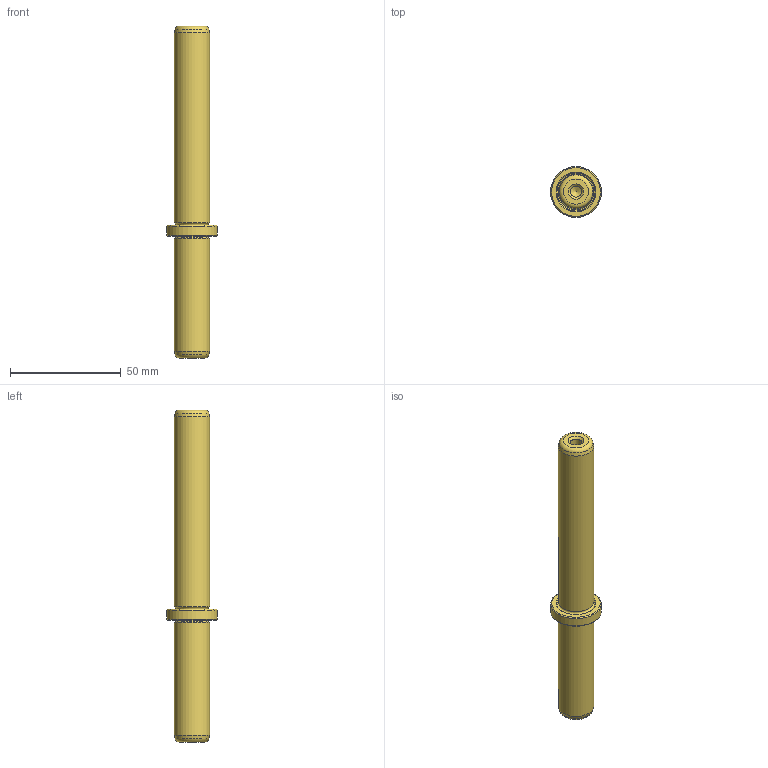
import cadquery as cq
import math

TOTAL_LENGTH = 150.0
SHAFT_RADIUS = 8.0
COLLAR_RADIUS = 11.5
COLLAR_BOTTOM = 55.0
COLLAR_THICKNESS = 5.0
COLLAR_CHAMFER = 0.5
COLLAR_TOP = COLLAR_BOTTOM + COLLAR_THICKNESS

LEAD_LENGTH = 1.5
LEAD_ANGLE = math.radians(15.0)
END_ARC_RADIUS = 2.0

UNDERCUT_REACH = 1.0
UNDERCUT_WALL = 0.4

HOLE_RADIUS = 2.5
HOLE_DEPTH = 16.0
COUNTERSINK_RADIUS = 3.5
COUNTERSINK_ANGLE = math.radians(90.0)
DRILL_POINT_ANGLE = math.radians(118.0)


def shaft():
    """Revolve the plain shaft with its rounded lead-in at both ends."""
    cone_radius = SHAFT_RADIUS - LEAD_LENGTH * math.tan(LEAD_ANGLE)
    centre_radius = cone_radius - END_ARC_RADIUS * math.cos(LEAD_ANGLE)
    lead_total = LEAD_LENGTH + END_ARC_RADIUS * (1 - math.sin(LEAD_ANGLE))
    cone_height = lead_total - LEAD_LENGTH
    mid_angle = (LEAD_ANGLE + math.pi / 2) / 2
    mid_radius = centre_radius + END_ARC_RADIUS * math.cos(mid_angle)
    mid_height = END_ARC_RADIUS * (1 - math.sin(mid_angle))
    return (
        cq.Workplane("XZ")
        .lineTo(centre_radius, 0)
        .threePointArc((mid_radius, mid_height), (cone_radius, cone_height))
        .lineTo(SHAFT_RADIUS, lead_total)
        .lineTo(SHAFT_RADIUS, TOTAL_LENGTH - lead_total)
        .lineTo(cone_radius, TOTAL_LENGTH - cone_height)
        .threePointArc((mid_radius, TOTAL_LENGTH - mid_height), (centre_radius, TOTAL_LENGTH))
        .lineTo(0, TOTAL_LENGTH)
        .close()
        .revolve(360, (0, 0), (0, 1))
    )


def collar():
    """Chamfered disc that surrounds the shaft."""
    return (
        cq.Workplane("XY", origin=(0, 0, COLLAR_BOTTOM))
        .circle(COLLAR_RADIUS)
        .extrude(COLLAR_THICKNESS)
        .edges()
        .chamfer(COLLAR_CHAMFER)
    )


def undercut(face_height, outward):
    """Ring that relieves the corner at a collar face; outward is +1 upward, -1 downward."""
    wall_end = UNDERCUT_REACH - UNDERCUT_WALL

    def corner_point(radial, axial):
        return (SHAFT_RADIUS + radial, face_height + outward * axial)

    return (
        cq.Workplane("XZ")
        .moveTo(*corner_point(0, UNDERCUT_REACH))
        .lineTo(*corner_point(-UNDERCUT_WALL, wall_end))
        .threePointArc(corner_point(-UNDERCUT_WALL, -UNDERCUT_WALL), corner_point(wall_end, -UNDERCUT_WALL))
        .lineTo(*corner_point(UNDERCUT_REACH, 0))
        .close()
        .revolve(360, (0, 0), (0, 1))
    )


def centre_hole():
    """Countersunk blind hole with a drill-point bottom."""
    countersink_depth = (COUNTERSINK_RADIUS - HOLE_RADIUS) / math.tan(COUNTERSINK_ANGLE / 2)
    point_depth = HOLE_RADIUS / math.tan(DRILL_POINT_ANGLE / 2)
    hole_floor = TOTAL_LENGTH - HOLE_DEPTH
    return (
        cq.Workplane("XZ")
        .moveTo(0, TOTAL_LENGTH)
        .lineTo(COUNTERSINK_RADIUS, TOTAL_LENGTH)
        .lineTo(HOLE_RADIUS, TOTAL_LENGTH - countersink_depth)
        .lineTo(HOLE_RADIUS, hole_floor)
        .lineTo(0, hole_floor - point_depth)
        .close()
        .revolve(360, (0, 0), (0, 1))
    )


result = shaft().union(collar())
result = result.cut(undercut(COLLAR_TOP, 1))
result = result.cut(undercut(COLLAR_BOTTOM, -1))
result = result.cut(centre_hole())